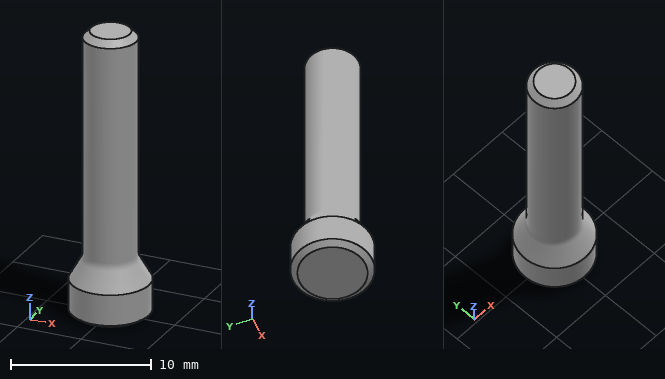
import cadquery as cq
import math

total_length = 22.0
head_diameter = 6.0
shank_diameter = 4.0
head_top = 2.7
cone_half_angle = 30.0
neck_radius = 1.0
tip_chamfer = 0.5
base_chamfer_width = 0.5
base_chamfer_height = 0.33

head_radius = head_diameter / 2
shank_radius = shank_diameter / 2

cone_angle = math.radians(cone_half_angle)
cone_top = head_top + (head_radius - shank_radius) / math.tan(cone_angle)

tangent_length = neck_radius * math.tan(cone_angle / 2)
neck_start = (
    shank_radius + tangent_length * math.sin(cone_angle),
    cone_top - tangent_length * math.cos(cone_angle),
)
neck_end = (shank_radius, cone_top + tangent_length)
neck_middle = (
    shank_radius + neck_radius * (1 - math.cos(cone_angle / 2)),
    neck_end[1] - neck_radius * math.sin(cone_angle / 2),
)

half_profile = (
    cq.Workplane("XZ")
    .lineTo(head_radius - base_chamfer_width, 0)
    .lineTo(head_radius, base_chamfer_height)
    .lineTo(head_radius, head_top)
    .lineTo(*neck_start)
    .threePointArc(neck_middle, neck_end)
    .lineTo(shank_radius, total_length - tip_chamfer)
    .lineTo(shank_radius - tip_chamfer, total_length)
    .lineTo(0, total_length)
    .close()
)

result = half_profile.revolve(360, (0, 0, 0), (0, 1, 0))